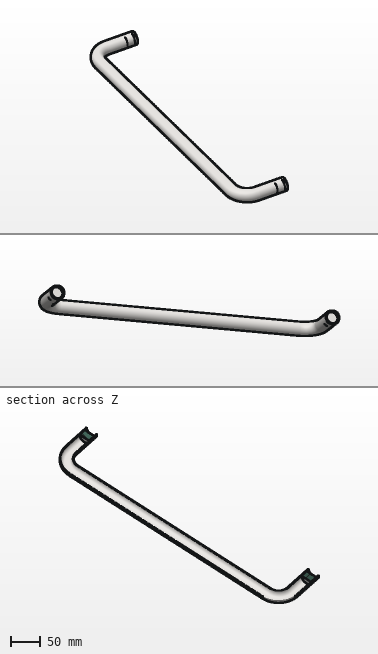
import cadquery as cq

tube_diameter = 25.0
wall_thickness = 2.0
overall_length = 525.0
overall_depth = 100.0
bend_inner_radius = 20.0

plug_length = 15.0
plug_recess = 5.0

tube_radius = tube_diameter / 2
bore_radius = tube_radius - wall_thickness
bend_radius = bend_inner_radius + tube_radius
leg_x = overall_length / 2 - tube_radius
grip_y = tube_radius - overall_depth
bend_x = leg_x - bend_radius
bend_y = grip_y + bend_radius


def make_handle():
    """Hollow round tube with two legs, two quarter bends and a straight grip."""
    axis = (
        cq.Workplane("XY")
        .moveTo(-leg_x, 0)
        .lineTo(-leg_x, bend_y)
        .tangentArcPoint((-bend_x, grip_y), relative=False)
        .lineTo(bend_x, grip_y)
        .tangentArcPoint((leg_x, bend_y), relative=False)
        .lineTo(leg_x, 0)
    )
    leg_end = cq.Workplane("XZ", origin=(-leg_x, 0, 0))
    return leg_end.circle(tube_radius).circle(bore_radius).sweep(axis)


def make_plug(x):
    """Round plug filling the bore of the leg at x, recessed below the tube end."""
    plug_face = cq.Workplane("XZ", origin=(x, -plug_recess, 0))
    return plug_face.circle(bore_radius).extrude(plug_length)


handle = make_handle()
plugs = [make_plug(x) for x in (-leg_x, leg_x)]

result = cq.Compound.makeCompound([handle.val(), *[plug.val() for plug in plugs]])